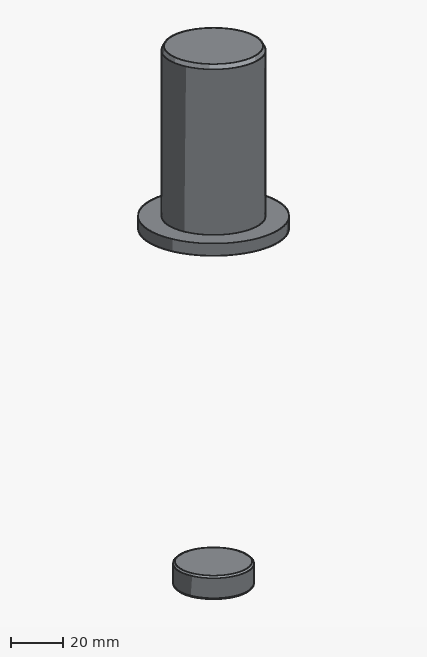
import cadquery as cq

TOTAL_HEIGHT = 222.0

FLANGE_DIAMETER = 58.0
FLANGE_THICKNESS = 5.0
PIN_DIAMETER = 40.0
PIN_HEIGHT = 75.0
PIN_CHAMFER_HEIGHT = 1.8
PIN_CHAMFER_INSET = 1.0

DISC_DIAMETER = 31.0
DISC_THICKNESS = 9.8
DISC_CHAMFER = 0.78


def make_pin():
    """Round pin on a flange, chamfered around its top edge."""
    base_z = TOTAL_HEIGHT - PIN_HEIGHT
    flange = cq.Workplane("XY", origin=(0, 0, base_z)).circle(FLANGE_DIAMETER / 2).extrude(FLANGE_THICKNESS)
    shank = cq.Workplane("XY", origin=(0, 0, base_z)).circle(PIN_DIAMETER / 2).extrude(PIN_HEIGHT)
    return flange.union(shank.faces(">Z").edges().chamfer(PIN_CHAMFER_HEIGHT, PIN_CHAMFER_INSET))


def make_disc():
    """Flat disc chamfered around both ends."""
    disc = cq.Workplane("XY").circle(DISC_DIAMETER / 2).extrude(DISC_THICKNESS)
    return disc.faces("<Z or >Z").edges().chamfer(DISC_CHAMFER)


pin = make_pin()
disc = make_disc()
result = cq.Compound.makeCompound([pin.val(), disc.val()])